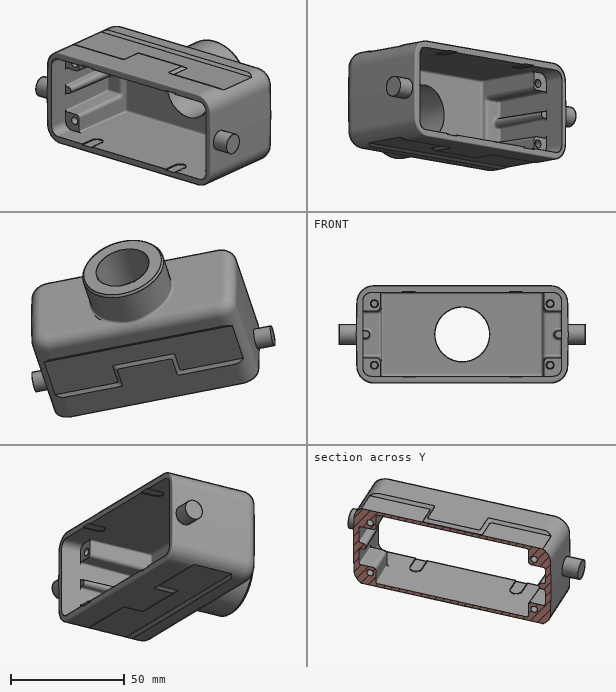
import cadquery as cq
import math


body_half_width = 46.8
half_height = 21.5
body_depth = 45.0
corner_radius = 7.6
back_radius = 5.1
rim_radius = 0.7
draft = 1.0

selection_margin = 0.1

total_depth = 61.0
entry_radius = 18.4
entry_base_radius = 1.0
entry_chamfer_length = 1.1
entry_chamfer_width = 0.8
bore_radius = 12.0

pin_half_span = 54.2
pin_radius = 4.5
pin_y = 6.1

cavity_half_width = 43.8
cavity_half_height = 18.4
cavity_corner_radius = 3.7
floor_y = 41.7
floor_radius = 1.1
wall_joint_radius = 0.8

post_y = 9.8
post_half_gap = 36.1
post_inner_z = 10.4
post_edge_radius = 1.6
bay_floor_y = 39.1
screw_x = 38.7
screw_z = 13.6
screw_radius = 1.7
screw_depth = 16.3

rib_radius = 1.5
rib_center_x = 42.4

slot_x = 23.7
slot_width = 5.4
slot_length = 9.4
slot_depth = 0.4

panel_depth = 1.1
panel_slope_width = 1.6
panel_front_y = 12.0
panel_back_y = 34.8
tab_half_width = 12.5
tab_end_y = 22.1
tab_corner_radius = 1.8


def on_y(y):
    """Plane across the Y axis, with local x along X and the normal along +Y."""
    return cq.Workplane(cq.Plane(origin=(0, y, 0), xDir=(1, 0, 0), normal=(0, 1, 0)))


def draft_over(length):
    return length * math.tan(math.radians(draft))


def both_ends(shape):
    return shape.union(shape.mirror("YZ"))


def midpoint_near(point):
    """Selector for edges whose midpoint lies in a small box around the given point."""
    low = tuple(value - selection_margin for value in point)
    high = tuple(value + selection_margin for value in point)
    return cq.selectors.BoxSelector(low, high)


def make_body():
    edge_half_width = body_half_width - draft_over(half_height)
    outline = [
        (body_half_width, 0),
        (edge_half_width, half_height),
        (-edge_half_width, half_height),
        (-body_half_width, 0),
        (-edge_half_width, -half_height),
        (edge_half_width, -half_height),
    ]
    block = on_y(0).polyline(outline).close().extrude(body_depth)
    for side in (-1, 1):
        for level in (-1, 1):
            corner = (side * edge_half_width, body_depth / 2, level * half_height)
            block = block.edges(midpoint_near(corner)).fillet(corner_radius)
    block = block.faces(">Y").edges().fillet(back_radius)
    return block.faces("<Y").edges().fillet(rim_radius)


def add_cable_entry(body):
    start_y = body_depth - back_radius
    entry = on_y(start_y).circle(entry_radius).extrude(total_depth - start_y)
    entry = entry.faces(">Y").chamfer(entry_chamfer_length, entry_chamfer_width)
    joined = body.union(entry)
    reach = entry_radius + selection_margin
    seam = cq.selectors.BoxSelector(
        (-reach, start_y + selection_margin, -reach),
        (reach, body_depth + selection_margin, reach),
        boundingbox=True,
    )
    return joined.edges(seam).fillet(entry_base_radius)


def make_pins():
    inner_x = (body_half_width + cavity_half_width) / 2
    pin = cq.Workplane("YZ").workplane(offset=inner_x).center(pin_y, 0)
    return both_ends(pin.circle(pin_radius).extrude(pin_half_span - inner_x))


def rounded_along_y(shape, is_wanted, radius):
    """Fillet the long edges that run nearly along Y and pass the test on their center."""

    def is_selected(edge):
        direction = edge.tangentAt(0.5)
        is_long = edge.Length() > (bay_floor_y - post_y) / 2
        runs_along_y = abs(direction.y) > math.cos(math.radians(2 * draft))
        return is_long and runs_along_y and is_wanted(edge.Center())

    return shape.edges().filter(is_selected).fillet(radius)


def make_well():
    """Deep middle part of the cavity, between the posts."""
    inset = draft_over(floor_y - post_y)
    outline = [
        (-post_half_gap, post_y),
        (post_half_gap, post_y),
        (post_half_gap - inset, floor_y),
        (-post_half_gap + inset, floor_y),
    ]
    well = cq.Workplane("XY").workplane(offset=-cavity_half_height).polyline(outline).close()
    well = well.extrude(2 * cavity_half_height)
    well = rounded_along_y(well, lambda center: True, wall_joint_radius)
    return well.faces(">Y").edges().fillet(floor_radius)


def make_rib():
    """Drafted rib with a round nose, reaching into the +X end wall."""
    length = bay_floor_y - post_y
    foot_radius = rib_radius + draft_over(length)
    wall_x = body_half_width + foot_radius
    return (
        on_y(bay_floor_y)
        .moveTo(wall_x, -foot_radius)
        .lineTo(rib_center_x, -foot_radius)
        .threePointArc((rib_center_x - foot_radius, 0), (rib_center_x, foot_radius))
        .lineTo(wall_x, foot_radius)
        .close()
        .extrude(-length, taper=draft)
    )


def make_bay():
    """Space between the two posts at the +X end, around the rib."""
    inset = draft_over(bay_floor_y - post_y)
    outline = [
        (post_y, -post_inner_z),
        (post_y, post_inner_z),
        (bay_floor_y, post_inner_z - inset),
        (bay_floor_y, -post_inner_z + inset),
    ]
    inner_x = post_half_gap / 2
    bay = cq.Workplane("YZ").workplane(offset=inner_x).polyline(outline).close()
    bay = bay.extrude(cavity_half_width - inner_x).cut(make_rib())

    def is_at_end_wall(center):
        return abs(center.x - cavity_half_width) < selection_margin

    def is_on_floor(edge):
        center = edge.Center()
        is_deep = abs(center.y - bay_floor_y) < selection_margin
        return is_deep and center.x > inner_x + selection_margin

    bay = rounded_along_y(bay, is_at_end_wall, wall_joint_radius)
    return bay.edges().filter(is_on_floor).fillet(floor_radius)


def make_cavity():
    mouth = on_y(0).rect(2 * cavity_half_width, 2 * cavity_half_height).extrude(post_y)

    def is_post_edge(center):
        drift = draft_over(floor_y)
        near_bay_side = abs(abs(center.z) - post_inner_z) < drift
        return near_bay_side and abs(abs(center.x) - post_half_gap) < drift

    inside = make_well().union(both_ends(make_bay()))
    inside = rounded_along_y(inside, is_post_edge, post_edge_radius)

    rounded = on_y(0).rect(2 * cavity_half_width, 2 * cavity_half_height).extrude(floor_y)
    rounded = rounded.edges("|Y").fillet(cavity_corner_radius)
    return mouth.union(inside).intersect(rounded)


def make_screw_holes():
    places = [(side * screw_x, level * screw_z) for side in (-1, 1) for level in (-1, 1)]
    return on_y(post_y).pushPoints(places).circle(screw_radius).extrude(screw_depth, taper=draft)


def make_slots():
    end_y = slot_length - slot_width / 2
    slot_height = cavity_half_height + slot_depth
    slot = (
        cq.Workplane("XY")
        .center(slot_x, 0)
        .moveTo(-slot_width / 2, 0)
        .lineTo(-slot_width / 2, end_y)
        .threePointArc((0, slot_length), (slot_width / 2, end_y))
        .lineTo(slot_width / 2, 0)
        .close()
        .extrude(slot_height, both=True)
    )
    return both_ends(slot)


def make_panel():
    """Cutter for the panel on the +Z face, with sloped edges around the tab."""
    floor_z = half_height - panel_depth
    rise = 2 * panel_depth
    run = rise * panel_slope_width / panel_depth
    front_y = panel_front_y + panel_slope_width
    back_y = panel_back_y - panel_slope_width
    section = [
        (front_y, floor_z),
        (front_y - run, floor_z + rise),
        (back_y + run, floor_z + rise),
        (back_y, floor_z),
    ]
    panel = cq.Workplane("YZ").polyline(section).close().extrude(body_half_width, both=True)

    tab_half_foot = tab_half_width + panel_slope_width
    tab_foot_y = tab_end_y + panel_slope_width
    slope_angle = math.degrees(math.atan(panel_slope_width / panel_depth))
    tab = (
        cq.Workplane("XY")
        .workplane(offset=floor_z)
        .center(0, tab_foot_y / 2)
        .rect(2 * tab_half_foot, tab_foot_y)
        .extrude(rise, taper=slope_angle)
    )
    panel = panel.cut(tab)
    for side in (-1, 1):
        for y in (panel_front_y, tab_end_y):
            corner = (side * tab_half_width, y, half_height)
            panel = panel.edges(midpoint_near(corner)).fillet(tab_corner_radius)
    return panel


hood = add_cable_entry(make_body())
upper_panel = make_panel()
for panel in (upper_panel, upper_panel.mirror("XY")):
    hood = hood.cut(panel)
hood = hood.cut(make_cavity()).cut(make_slots())
hood = hood.cut(make_screw_holes())
hood = hood.cut(on_y(post_y).circle(bore_radius).extrude(total_depth))
result = hood.union(make_pins())